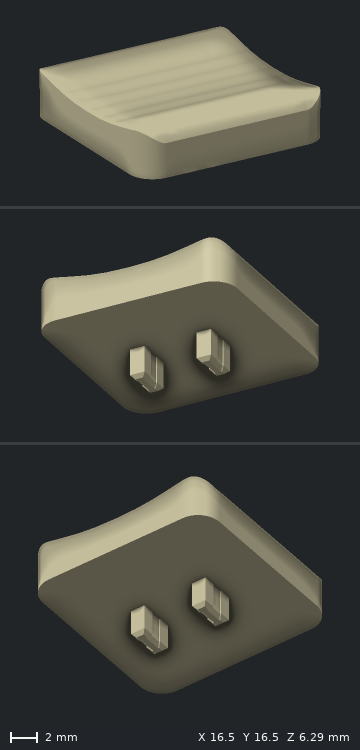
import cadquery as cq
import math

CAP_SIDE = 16.5
HALF_SIDE = CAP_SIDE / 2
CORNER_RADIUS = 2.0
SIDE_HEIGHT = 2.84
TROUGH_HEIGHT = 2.94
CREST_HEIGHT = 3.79
CREST_X = 6.95

LEG_LENGTH = 2.5
LEG_SPACING = 5.7
LEG_THICKNESS = 1.25
LEG_WIDTH = 3.0
GROOVE_WIDTH = 1.0
GROOVE_DEPTH = 0.1
TIP_CHAMFER = 0.3


def half_top_curve():
    """Points (X, Z) of the half top curve on +X from the trough line to the wall, and its steepness.

    The points lie on a concave trough arc and a convex rim arc tangent to it.
    The steepness is the downward slope angle of the rim where it meets the wall.
    """
    rim_drop = CREST_HEIGHT - SIDE_HEIGHT
    rim_run = HALF_SIDE - CREST_X
    rim_radius = (rim_run**2 + rim_drop**2) / (2 * rim_drop)
    wall_angle = math.atan2(rim_run, rim_radius - rim_drop)
    rise = CREST_HEIGHT - TROUGH_HEIGHT
    radius_sum = (CREST_X**2 + rise**2) / (2 * rise)
    trough_radius = radius_sum - rim_radius
    join_angle = math.asin(CREST_X / radius_sum)

    def rim_point(angle):
        x = CREST_X + rim_radius * math.sin(angle)
        z = CREST_HEIGHT - rim_radius * (1 - math.cos(angle))
        return (x, z)

    def trough_point(angle):
        x = trough_radius * math.sin(angle)
        z = TROUGH_HEIGHT + trough_radius * (1 - math.cos(angle))
        return (x, z)

    points = [
        trough_point(0),
        trough_point(join_angle / 2),
        trough_point(join_angle),
        rim_point(0),
        rim_point(wall_angle / 2),
        rim_point(wall_angle),
    ]
    return points, wall_angle


def make_cap():
    """Extrude the +X half section along Y, round its corners and mirror it."""
    top_curve, wall_angle = half_top_curve()
    level = (1, 0)
    descent = (math.cos(wall_angle), -math.sin(wall_angle))
    half_cap = (
        cq.Workplane("XZ", origin=(0, HALF_SIDE, 0))
        .lineTo(0, TROUGH_HEIGHT)
        .spline(top_curve[1:], tangents=[level, descent], includeCurrent=True)
        .lineTo(HALF_SIDE, 0)
        .close()
        .extrude(CAP_SIDE)
        .edges("|Z and >X")
        .fillet(CORNER_RADIUS)
    )
    return half_cap.mirror("YZ", union=True).clean()


def make_leg(center_x):
    """One grooved leg hanging from the cap, chamfered all round its tip."""
    leg = (
        cq.Workplane("XY", origin=(center_x, 0, 0))
        .rect(LEG_THICKNESS, LEG_WIDTH)
        .extrude(-LEG_LENGTH)
    )
    grooves = (
        cq.Workplane("XY", origin=(center_x, 0, 0))
        .pushPoints([(-LEG_THICKNESS / 2, 0), (LEG_THICKNESS / 2, 0)])
        .rect(2 * GROOVE_DEPTH, GROOVE_WIDTH)
        .extrude(-LEG_LENGTH)
    )
    return leg.cut(grooves).faces("<Z").chamfer(TIP_CHAMFER)


result = make_cap()
for side in (-1, 1):
    result = result.union(make_leg(side * LEG_SPACING / 2))